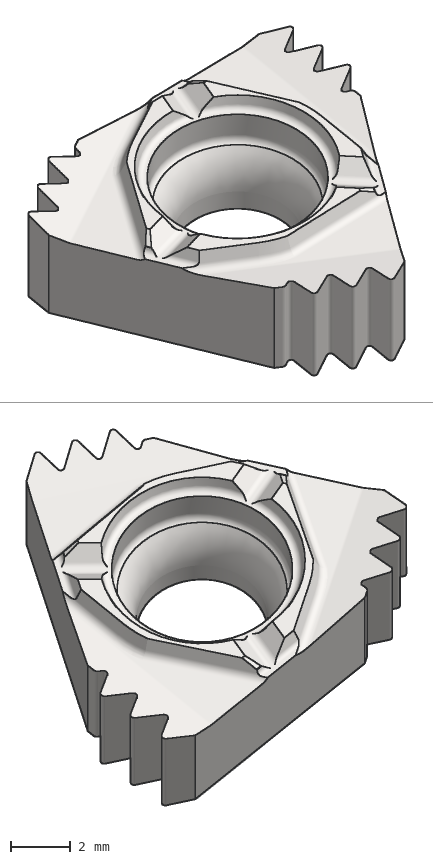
import cadquery as cq
import math

CORNERS = 3
CORNER_STEP = -360 / CORNERS
REACH = 11.55

FLOOR_Z = 3.49
PLATFORM_Z = 3.61
TOP_Z = 4.1

FLANK_DISTANCE = 4.75
TOOTH_PITCH = 1.34
FIRST_TOOTH_X = -4.13
TIP_HEIGHTS = (5.97, 6.11, 6.2)
TIP_RADIUS = 0.13
ROOT_RADIUS = 0.13
LAST_ROOT_Y = 5.32
WIPER_Y = 5.6
WIPER_RADIUS = 0.17
HALF_THREAD_ANGLE = math.radians(30)
FLANK_SLOPE = 1 / math.tan(HALF_THREAD_ANGLE)

RAMP_START = 4.29
RAMP_ANGLE = 10.3
RAMP_BLEND_RADIUS = 0.42

WALL_DRAFT = 25.0
FRONT_WALL_TOP = 3.72
SIDE_WALL_TOP = 3.6
SIDE_WALL_TURN = 31.0
WALL_FOOT_RADIUS = 0.32
END_WALL_TOP = 4.22
END_WALL_FOOT_RADIUS = 0.2
BEVEL_START = 3.81
BEVEL_ANGLE = 29.0
BEVEL_END_Z = 3.8
BEVEL_SIDE = 1.03

GROOVE_ANGLE = 165.5
GROOVE_HALF_WIDTH = 0.76
GROOVE_FOOT_HALF_WIDTH = 0.15
GROOVE_FOOT_RADIUS = 0.31

MOUTH_RADIUS = 3.45
MOUTH_FOOT_RADIUS = 3.3
MOUTH_FILLET = 0.25
BORE_RADIUS = 3.03
BORE_END_Z = 2.65
SEAT_RADIUS = 2.85
SEAT_Z = 2.36
THROAT_RADIUS = 4.4 / 2
THROAT_Z = 0.81


def turned(shape, degrees):
    return shape.rotate((0, 0, 0), (0, 0, 1), degrees)


def turned_point(point, degrees):
    angle = math.radians(degrees)
    x, y = point
    return (x * math.cos(angle) - y * math.sin(angle), x * math.sin(angle) + y * math.cos(angle))


def rounded_corner(before, corner, after, radius):
    """Start, middle and end of the arc that rounds a corner between two straight lines."""
    corner, before, after = cq.Vector(*corner), cq.Vector(*before), cq.Vector(*after)
    towards_before = (before - corner).normalized()
    towards_after = (after - corner).normalized()
    half_angle = towards_before.getAngle(towards_after) / 2
    setback = radius / math.tan(half_angle)
    start = corner + towards_before * setback
    end = corner + towards_after * setback
    inward = (towards_before + towards_after).normalized()
    middle = corner + inward * (radius / math.sin(half_angle) - radius)
    return [(p.x, p.y) for p in (start, middle, end)]


def corner_vertices():
    """Sharp corners of one toothed end, each with its rounding radius."""
    sharpness = 1 / math.sin(HALF_THREAD_ANGLE) - 1
    apexes = [
        (FIRST_TOOTH_X + i * TOOTH_PITCH, tip + TIP_RADIUS * sharpness)
        for i, tip in enumerate(TIP_HEIGHTS)
    ]
    first_x, first_y = apexes[0]
    vertices = [((-FLANK_DISTANCE, first_y - FLANK_SLOPE * (first_x + FLANK_DISTANCE)), 0)]
    for (x, y), (next_x, next_y) in zip(apexes, apexes[1:]):
        root_x = (x + next_x) / 2 - (next_y - y) / (2 * FLANK_SLOPE)
        vertices.append(((x, y), TIP_RADIUS))
        vertices.append(((root_x, y - FLANK_SLOPE * (root_x - x)), ROOT_RADIUS))
    last_x, last_y = apexes[-1]
    root_y = LAST_ROOT_Y - ROOT_RADIUS * sharpness
    root_x = last_x + (last_y - root_y) / FLANK_SLOPE
    vertices.append(((last_x, last_y), TIP_RADIUS))
    vertices.append(((root_x, root_y), ROOT_RADIUS))
    vertices.append(((root_x + (WIPER_Y - root_y) / FLANK_SLOPE, WIPER_Y), WIPER_RADIUS))
    flank_normal = math.radians(180 + CORNER_STEP)
    land_end_x = (FLANK_DISTANCE - WIPER_Y * math.sin(flank_normal)) / math.cos(flank_normal)
    vertices.append(((land_end_x, WIPER_Y), 0))
    return vertices


def plan_outline(base_z):
    vertices = [
        (turned_point(point, i * CORNER_STEP), radius)
        for i in range(CORNERS)
        for point, radius in corner_vertices()
    ]
    points = [point for point, _ in vertices]
    outline = cq.Workplane("XY").workplane(offset=base_z).moveTo(*points[0])
    for i in range(1, len(points)):
        radius = vertices[i][1]
        following = points[(i + 1) % len(points)]
        if radius:
            start, middle, end = rounded_corner(points[i - 1], points[i], following, radius)
            outline = outline.lineTo(*start).threePointArc(middle, end)
        else:
            outline = outline.lineTo(*points[i])
    return outline.close()


def ramp():
    """Wedge above the floor on the +Y corner, with a soft start."""
    rise = REACH - RAMP_START
    far = (REACH, FLOOR_Z + rise * math.tan(math.radians(RAMP_ANGLE)))
    start, middle, end = rounded_corner((0, FLOOR_Z), (RAMP_START, FLOOR_Z), far, RAMP_BLEND_RADIUS)
    return (
        cq.Workplane("YZ").workplane(offset=-REACH).moveTo(*start)
        .threePointArc(middle, end)
        .lineTo(*far).lineTo(REACH, FLOOR_Z).close()
        .extrude(2 * REACH)
    )


def wall_section(plane, top_distance, foot_z, foot_radius):
    """Space outside a drafted wall with a concave foot, as distance from the axis against height."""
    top = (top_distance, TOP_Z)
    foot = (top_distance + (TOP_Z - foot_z) * math.tan(math.radians(WALL_DRAFT)), foot_z)
    start, middle, end = rounded_corner(top, foot, (REACH, foot_z), foot_radius)
    return (
        plane.moveTo(*top).lineTo(*start)
        .threePointArc(middle, end)
        .lineTo(REACH, foot_z).lineTo(REACH, TOP_Z).close()
    )


def boss_corner_cutters():
    """Clear the floor of the +Y corner: front wall, conical corner and side wall."""
    front = wall_section(cq.Workplane("YZ"), FRONT_WALL_TOP, FLOOR_Z, WALL_FOOT_RADIUS).extrude(REACH)
    cone = wall_section(cq.Workplane("YZ"), FRONT_WALL_TOP, FLOOR_Z, WALL_FOOT_RADIUS).revolve(
        SIDE_WALL_TURN, (0, 0), (0, 1)
    )
    side = wall_section(
        cq.Workplane("YZ").workplane(offset=-REACH), SIDE_WALL_TOP, FLOOR_Z, WALL_FOOT_RADIUS
    ).extrude(2 * REACH)
    return front, cone, turned(side, SIDE_WALL_TURN)


def end_cutter():
    """Steps the boss back from the flat flank on the -X side, leaving a small platform."""
    section = wall_section(
        cq.Workplane("YZ").workplane(offset=-REACH), END_WALL_TOP, PLATFORM_Z, END_WALL_FOOT_RADIUS
    )
    return turned(section.extrude(2 * REACH), 90)


def bevel_cutter():
    """Slopes the boss crest down towards the flat flank on the -X side, on one side of the groove."""
    run = (TOP_Z - BEVEL_END_Z) / math.tan(math.radians(BEVEL_ANGLE))
    return (
        cq.Workplane("XZ").workplane(offset=-BEVEL_SIDE)
        .polyline([
            (-BEVEL_START, TOP_Z),
            (-BEVEL_START - run, BEVEL_END_Z),
            (-REACH, BEVEL_END_Z),
            (-REACH, TOP_Z),
        ])
        .close()
        .extrude(-REACH)
    )


def groove_cutter():
    """Radial V groove with a narrow flat bottom and rounded foot corners."""
    wall_top = (GROOVE_HALF_WIDTH, TOP_Z)
    foot = (GROOVE_FOOT_HALF_WIDTH, PLATFORM_Z)
    start, middle, end = rounded_corner(wall_top, foot, (0, PLATFORM_Z), GROOVE_FOOT_RADIUS)
    half = (
        cq.Workplane("YZ").moveTo(0, TOP_Z).lineTo(*wall_top).lineTo(*start)
        .threePointArc(middle, end)
        .lineTo(0, PLATFORM_Z).close()
        .extrude(REACH)
    )
    return turned(half.union(half.mirror("XZ")), GROOVE_ANGLE)


def screw_hole():
    rim_edge = (BORE_RADIUS, PLATFORM_Z)
    fillet_start, fillet_middle, fillet_end = rounded_corner(
        rim_edge, (MOUTH_FOOT_RADIUS, PLATFORM_Z), (MOUTH_RADIUS, TOP_Z), MOUTH_FILLET
    )
    seat_top = (SEAT_RADIUS, SEAT_Z)
    run = SEAT_RADIUS - THROAT_RADIUS
    drop = SEAT_Z - THROAT_Z
    bulge = (run ** 2 + drop ** 2) / (2 * run)
    half_sweep = math.asin(drop / bulge) / 2
    seat_middle = (
        THROAT_RADIUS + bulge * (1 - math.cos(half_sweep)),
        THROAT_Z + bulge * math.sin(half_sweep),
    )
    return (
        cq.Workplane("XZ").moveTo(0, TOP_Z).lineTo(MOUTH_RADIUS, TOP_Z).lineTo(*fillet_end)
        .threePointArc(fillet_middle, fillet_start)
        .lineTo(*rim_edge).lineTo(BORE_RADIUS, BORE_END_Z)
        .tangentArcPoint(seat_top, relative=False)
        .threePointArc(seat_middle, (THROAT_RADIUS, THROAT_Z))
        .lineTo(THROAT_RADIUS, 0).lineTo(0, 0).close()
        .revolve(360, (0, 0), (0, 1))
    )


upper_blank = plan_outline(FLOOR_Z).extrude(TOP_Z - FLOOR_Z)
boss = upper_blank
body = plan_outline(0).extrude(FLOOR_Z)
cutters = (*boss_corner_cutters(), end_cutter(), bevel_cutter(), groove_cutter())
for i in range(CORNERS):
    turn = i * CORNER_STEP
    for cutter in cutters:
        boss = boss.cut(turned(cutter, turn))
    body = body.union(upper_blank.intersect(turned(ramp(), turn)))

result = body.union(boss).cut(screw_hole()).clean()